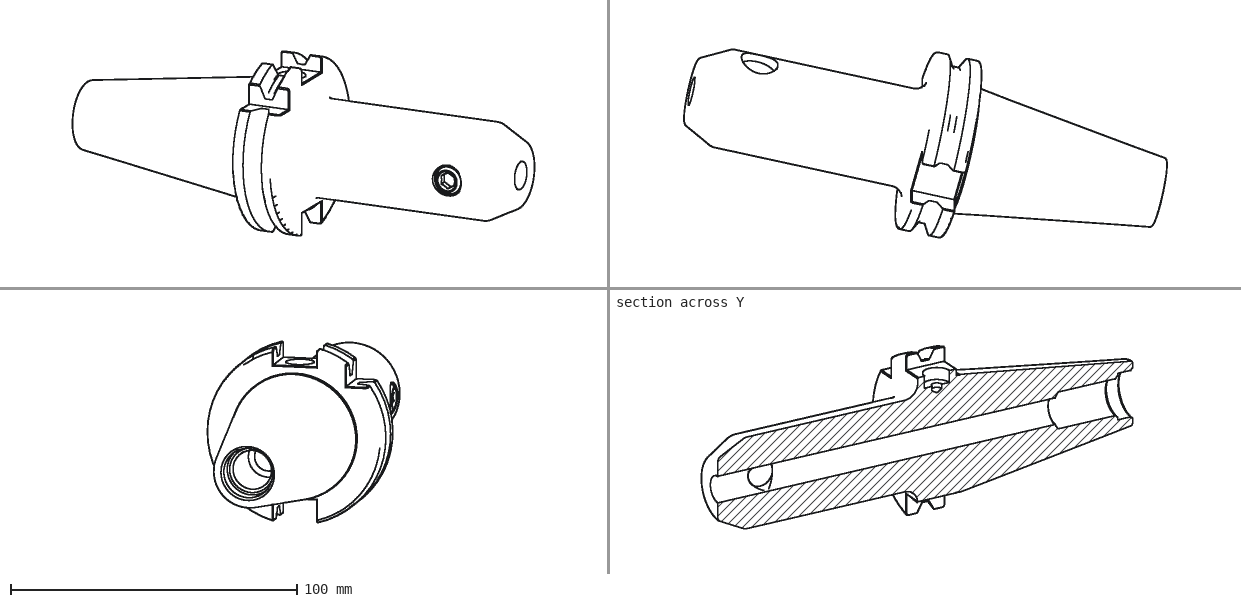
import cadquery as cq
import math

TOTAL_LENGTH = 168.4
TAPER_START_X = -TOTAL_LENGTH / 2

TAPER_LENGTH = 69.4
TAPER_RATIO = 7 / 24
GAUGE_RADIUS = 22.4
TAPER_SMALL_RADIUS = GAUGE_RADIUS - TAPER_LENGTH * TAPER_RATIO / 2
TAPER_END_FILLET = 1.0
COLLAR_LENGTH = 2.2
RELIEF_WIDTH = 0.5
RELIEF_DEPTH = 0.2
RELIEF_TO_FLANGE = 0.8

FLANGE_RADIUS = 31.7
FLANGE_WIDTH = 15.8
FLANGE_FILLET = 1.0
GROOVE_OFFSET = 7.9
GROOVE_DEPTH = 3.7
GROOVE_BOTTOM_WIDTH = 2.9
GROOVE_HALF_ANGLE = math.radians(30)
GROOVE_FILLET = 0.5

BODY_RADIUS = 17.5
NECK_FILLET = 5.0
NOSE_LENGTH = 11.1
NOSE_ANGLE = math.radians(27)
NOSE_BLEND = 2.2
NOSE_END_FILLET = 1.7

SLOT_WIDTH = 15.5
TOP_SLOT_FLOOR = 25.0
BOTTOM_SLOT_FLOOR = 22.4
NOTCH_WALL = 18.4
CUTOUT_CHAMFER = 0.3
CHIP_DIAMETER = 10.0
CHIP_DEPTH = 4.5
CHIP_CENTRE_DIAMETER = 3.9
CHIP_CENTRE_DEPTH = 1.7
DRILL_HALF_ANGLE = math.radians(59)

BORE_DIAMETER = 10.0
BORE_RADIUS = BORE_DIAMETER / 2
ENTRY_RADIUS = 9.6
PILOT_RADIUS = 8.8
PILOT_DEPTH = 6.0
THREAD_MOUTH_RADIUS = 7.9
THREAD_RADIUS = 6.9
THREAD_END_DEPTH = 30.3

SCREW_TO_NOSE = 20.2
SCREW_DIAMETER = 10.0
SCREW_HEAD_Y = -BODY_RADIUS
SCREW_TIP_Y = -5.0
SCREW_CHAMFER = 1.0
SCREW_MOUTH_DIAMETER = 11.1
SCREW_MOUTH_DEPTH = 1.7
HEX_ACROSS_FLATS = 5.0
HEX_DEPTH = 3.4
HEX_MOUTH_DIAMETER = 7.0
BALANCE_DIAMETER = 13.1
BALANCE_FLOOR_Y = 13.5

TAPER_END_X = TAPER_START_X + TAPER_LENGTH
FLANGE_START_X = TAPER_END_X + COLLAR_LENGTH
FLANGE_END_X = FLANGE_START_X + FLANGE_WIDTH
FLANGE_MIDDLE_X = (FLANGE_START_X + FLANGE_END_X) / 2
NOSE_END_X = TAPER_START_X + TOTAL_LENGTH
NOSE_START_X = NOSE_END_X - NOSE_LENGTH
SCREW_X = NOSE_END_X - SCREW_TO_NOSE


def revolve_profile(points):
    """Revolve a closed (x, radius) outline about the X axis."""
    return cq.Workplane("XZ").polyline(points).close().revolve(360, (0, 0, 0), (1, 0, 0))


def cylinder_along_y(diameter, start_y, end_y):
    """Cylinder parallel to Y at the clamping screw position."""
    plane = cq.Plane((SCREW_X, start_y, 0), xDir=(1, 0, 0), normal=(0, 1, 0))
    return cq.Workplane(plane).circle(diameter / 2).extrude(end_y - start_y)


def shank():
    """Taper with its rounded small end, and the relieved collar behind it."""
    taper = revolve_profile([
        (TAPER_START_X, 0),
        (TAPER_START_X, TAPER_SMALL_RADIUS),
        (TAPER_END_X, GAUGE_RADIUS),
        (FLANGE_START_X, GAUGE_RADIUS),
        (FLANGE_START_X, 0),
    ])
    taper = taper.faces("<X").edges().fillet(TAPER_END_FILLET)
    relief_end_x = FLANGE_START_X - RELIEF_TO_FLANGE
    relief_start_x = relief_end_x - RELIEF_WIDTH
    relief = revolve_profile([
        (relief_start_x, GAUGE_RADIUS - RELIEF_DEPTH),
        (relief_start_x, FLANGE_RADIUS),
        (relief_end_x, FLANGE_RADIUS),
        (relief_end_x, GAUGE_RADIUS - RELIEF_DEPTH),
    ])
    return taper.cut(relief)


def gripper_groove():
    """Ring with a trapezoidal section and rounded bottom corners."""
    middle_x = FLANGE_START_X + GROOVE_OFFSET
    bottom_half = GROOVE_BOTTOM_WIDTH / 2
    top_half = bottom_half + GROOVE_DEPTH * math.tan(GROOVE_HALF_ANGLE)
    bottom_radius = FLANGE_RADIUS - GROOVE_DEPTH
    ring = revolve_profile([
        (middle_x - bottom_half, bottom_radius),
        (middle_x - top_half, FLANGE_RADIUS),
        (middle_x + top_half, FLANGE_RADIUS),
        (middle_x + bottom_half, bottom_radius),
    ])
    bottom_edges = ring.edges(cq.selectors.RadiusNthSelector(0))
    return bottom_edges.fillet(GROOVE_FILLET)


def flange():
    """Disc with rounded rims, chamfered cutouts and the gripper groove."""
    disc = cq.Workplane("YZ", origin=(FLANGE_START_X, 0, 0)).circle(FLANGE_RADIUS).extrude(FLANGE_WIDTH)
    disc = disc.faces("<X or >X").edges().fillet(FLANGE_FILLET)
    for cutout in flange_cutouts():
        disc = disc.cut(cutout)
    disc = disc.faces("<X or >X").edges("%LINE").chamfer(CUTOUT_CHAMFER)
    return disc.cut(gripper_groove())


def body():
    """Cylinder with a flared neck at the flange and a rounded conical nose."""
    nose_radius = BODY_RADIUS - NOSE_LENGTH * math.tan(NOSE_ANGLE)
    barrel = revolve_profile([
        (FLANGE_MIDDLE_X, 0),
        (FLANGE_MIDDLE_X, BODY_RADIUS),
        (NOSE_START_X, BODY_RADIUS),
        (NOSE_END_X, nose_radius),
        (NOSE_END_X, 0),
    ])
    barrel = barrel.faces(">X").edges().fillet(NOSE_END_FILLET)
    nose_edge = cq.selectors.BoxSelector(
        (NOSE_START_X - NOSE_BLEND, -BODY_RADIUS, -BODY_RADIUS),
        (NOSE_START_X + NOSE_BLEND, BODY_RADIUS, BODY_RADIUS),
    )
    barrel = barrel.edges(cq.selectors.RadiusNthSelector(-1)).edges(nose_edge).fillet(NOSE_BLEND)
    flare = (
        cq.Workplane("XZ")
        .moveTo(FLANGE_END_X, 0)
        .lineTo(FLANGE_END_X, BODY_RADIUS + NECK_FILLET)
        .radiusArc((FLANGE_END_X + NECK_FILLET, BODY_RADIUS), -NECK_FILLET)
        .lineTo(FLANGE_END_X + NECK_FILLET, 0)
        .close()
        .revolve(360, (0, 0, 0), (1, 0, 0))
    )
    return barrel.union(flare)


def flange_block(min_y, max_y, min_z, max_z):
    """Cutting block that spans the flange width."""
    return cq.Workplane("XY").box(
        FLANGE_WIDTH, max_y - min_y, max_z - min_z, centered=False
    ).translate((FLANGE_START_X, min_y, min_z))


def flange_cutouts():
    """The two drive slots and the corner notch."""
    half_slot = SLOT_WIDTH / 2
    top_slot = flange_block(-half_slot, half_slot, TOP_SLOT_FLOOR, FLANGE_RADIUS)
    bottom_slot = flange_block(-half_slot, half_slot, -FLANGE_RADIUS, -BOTTOM_SLOT_FLOOR)
    notch = flange_block(-FLANGE_RADIUS, -NOTCH_WALL, NOTCH_WALL, FLANGE_RADIUS)
    return [top_slot, bottom_slot, notch]


def chip_pocket():
    """Round pocket in the top slot floor, with a pointed centre hole below it."""
    pocket_floor = TOP_SLOT_FLOOR - CHIP_DEPTH
    hole_end = pocket_floor - CHIP_CENTRE_DEPTH
    pocket_radius = CHIP_DIAMETER / 2
    hole_radius = CHIP_CENTRE_DIAMETER / 2
    tip = hole_end - hole_radius / math.tan(DRILL_HALF_ANGLE)
    profile = cq.Workplane("XZ").polyline([
        (0, TOP_SLOT_FLOOR),
        (pocket_radius, TOP_SLOT_FLOOR),
        (pocket_radius, pocket_floor),
        (hole_radius, pocket_floor),
        (hole_radius, hole_end),
        (0, tip),
    ]).close()
    return profile.revolve(360, (0, 0, 0), (0, 1, 0)).translate((FLANGE_MIDDLE_X, 0, 0))


def axial_bore():
    """Stepped pull stud bore that narrows to the tool bore."""
    thread_end_x = TAPER_START_X + THREAD_END_DEPTH
    cone_length = (THREAD_RADIUS - BORE_RADIUS) / math.tan(DRILL_HALF_ANGLE)
    pilot_end_x = TAPER_START_X + PILOT_DEPTH
    return revolve_profile([
        (TAPER_START_X, 0),
        (TAPER_START_X, ENTRY_RADIUS),
        (TAPER_START_X + ENTRY_RADIUS - PILOT_RADIUS, PILOT_RADIUS),
        (pilot_end_x, PILOT_RADIUS),
        (pilot_end_x, THREAD_MOUTH_RADIUS),
        (pilot_end_x + THREAD_MOUTH_RADIUS - THREAD_RADIUS, THREAD_RADIUS),
        (thread_end_x, THREAD_RADIUS),
        (thread_end_x + cone_length, BORE_RADIUS),
        (NOSE_END_X, BORE_RADIUS),
        (NOSE_END_X, 0),
    ])


def screw_hole():
    """Hole for the clamping screw, from the -Y side to the bore, with a wider mouth."""
    hole = cylinder_along_y(SCREW_DIAMETER, -FLANGE_RADIUS, 0)
    mouth = cylinder_along_y(SCREW_MOUTH_DIAMETER, -FLANGE_RADIUS, SCREW_HEAD_Y + SCREW_MOUTH_DEPTH)
    return hole.union(mouth)


def balance_hole():
    """Blind hole in the +Y side of the body."""
    return cylinder_along_y(BALANCE_DIAMETER, BALANCE_FLOOR_Y, FLANGE_RADIUS)


def make_holder():
    """Tool holder in one piece, with all its bores and holes."""
    solid = shank().union(flange()).union(body())
    for cutter in [chip_pocket(), axial_bore(), screw_hole(), balance_hole()]:
        solid = solid.cut(cutter)
    return solid


def make_screw():
    """Clamping set screw with a countersunk hexagon socket in its outer end."""
    screw = cylinder_along_y(SCREW_DIAMETER, SCREW_HEAD_Y, SCREW_TIP_Y)
    screw = screw.faces("<Y").edges().chamfer(SCREW_CHAMFER)
    hex_across_corners = HEX_ACROSS_FLATS / math.cos(math.pi / 6)
    head_plane = cq.Plane((SCREW_X, SCREW_HEAD_Y, 0), xDir=(0, 0, 1), normal=(0, 1, 0))
    socket = cq.Workplane(head_plane).polygon(6, hex_across_corners).extrude(HEX_DEPTH)
    mouth_depth = (HEX_MOUTH_DIAMETER - HEX_ACROSS_FLATS) / 2
    mouth = cq.Workplane(head_plane).circle(HEX_MOUTH_DIAMETER / 2).extrude(mouth_depth, taper=45)
    return screw.cut(socket).cut(mouth)


holder = make_holder().solids()
screw = make_screw().solids()
result = cq.Compound.makeCompound([holder.val(), screw.val()])